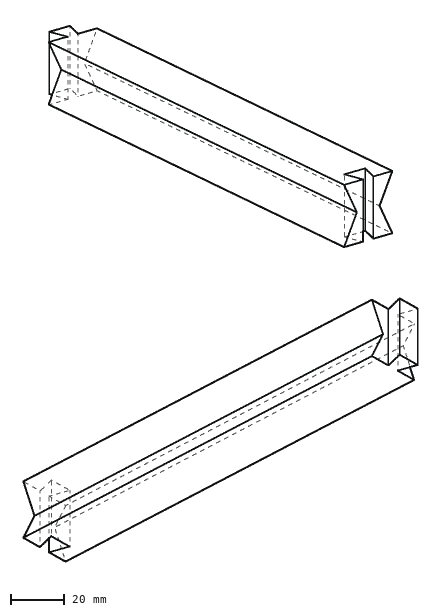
import cadquery as cq

total_length = 188.0
width = 22.7
height = 25.0

waist_width = 10.7

tongue_length = 8.0
tongue_tip_width = 9.8
tongue_root_width = 4.9

slot_depth = 8.3
slot_floor_width = 9.8
slot_mouth_width = 4.9

x_min = -total_length / 2
x_max = total_length / 2
body_start = x_min + tongue_length


def dovetail(x_wide, wide, x_narrow, narrow):
    """Full-height prism whose width tapers along X, centred on the bar."""
    return (
        cq.Workplane("XY")
        .workplane(offset=-height / 2)
        .polyline([
            (x_wide, -wide / 2),
            (x_narrow, -narrow / 2),
            (x_narrow, narrow / 2),
            (x_wide, wide / 2),
        ])
        .close()
        .extrude(height)
    )


body = (
    cq.Workplane("YZ")
    .workplane(offset=body_start)
    .polyline([
        (-width / 2, -height / 2),
        (width / 2, -height / 2),
        (waist_width / 2, 0),
        (width / 2, height / 2),
        (-width / 2, height / 2),
        (-waist_width / 2, 0),
    ])
    .close()
    .extrude(total_length - tongue_length)
)

tongue = dovetail(x_min, tongue_tip_width, body_start, tongue_root_width)
slot = dovetail(x_max - slot_depth, slot_floor_width, x_max, slot_mouth_width)

result = body.union(tongue).cut(slot)